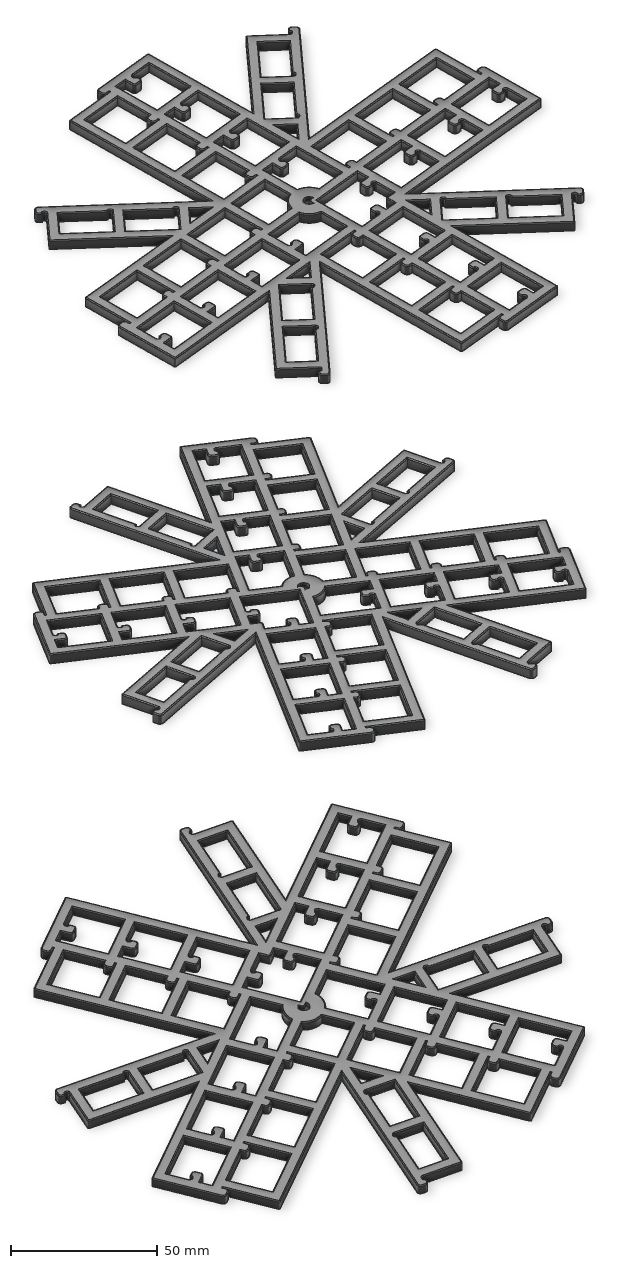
import cadquery as cq
span = 188.0
thickness = 4.0
reach = span / 2
corner_radius = 0.5
chamfer = 0.4

cells = 4
bar = 4.0
pitch = (reach - bar) / cells
rail_start = pitch - bar
tab_depth = 4.3
tab_radius = 1.5

ladder_width = 18.6
ladder_first_bar = 2

hook_length = 4.3
hook_width = 4.1
hook_side = 6.4
hook_turn_line = 10.3
hook_tip_radius = 1.3
notch_radius = 0.8
notch_depth = 1.0

hub_radius = 7.5
pivot_radius = 2.0
pivot_depth = 1.9


def bevelled(body):
    return body.faces(">Z").chamfer(chamfer)


def block(x0, x1, y0, y1, radius=corner_radius):
    """Flat bar with rounded vertical corners, given by its limits in X and Y."""
    body = cq.Workplane("XY").box(x1 - x0, y1 - y0, thickness, centered=False)
    return body.edges("|Z").fillet(radius).translate((x0, y0, 0))


def bevelled_block(*limits_and_radius):
    return bevelled(block(*limits_and_radius))


def disc(x, y, radius, height=thickness):
    return cq.Workplane("XY").circle(radius).extrude(height).translate((x, y, 0))


def open_corner():
    """Block filling the +X +Y quadrant beside the centre, where the corner cell stays open."""
    return cq.Workplane("XY").box(pitch, pitch, thickness, centered=False)


def turned(body, angle):
    return body.rotate((0, 0, 0), (0, 0, 1), angle)


def notch(face, edge):
    """Round relief in an edge that faces +Y at y = `edge`, just past a bar face at x = `face`."""
    return disc(face + notch_radius, edge + notch_radius - notch_depth, notch_radius)


def hook():
    """Hook along +X from a bar face at x = 0, straight side on y = 0, bulb toward +Y."""
    body = block(-bar, hook_length, 0, hook_width, hook_tip_radius)
    body = bevelled(body.cut(notch(0, hook_width)))
    behind_face = cq.Workplane("XY").box(bar, hook_width, thickness, centered=False)
    return body.cut(behind_face.translate((-bar - chamfer, 0, 0)))


def straight_arm():
    """Two staggered rows of cells along +X, without hooks."""
    inner_reach = cells * pitch
    arm = bevelled_block(0, reach, -bar / 2, bar / 2)
    arm = arm.union(bevelled_block(rail_start, reach, rail_start, pitch))
    arm = arm.union(bevelled_block(rail_start, inner_reach, -pitch, -rail_start))
    for cell in range(1, cells + 1):
        joint = cell * pitch
        arm = arm.union(bevelled_block(joint - bar, joint, -pitch, 0))
        arm = arm.union(bevelled_block(joint, joint + bar, -tab_depth, pitch, tab_radius))
    return arm


def left_arm():
    """Arm along -X; its hooks point toward the centre with their bulbs toward +Y."""
    arm = straight_arm().mirror("YZ")
    for cell in range(1, cells + 1):
        arm = arm.union(hook().translate((-cell * pitch, hook_side, 0)))
    return arm


def right_arm():
    """Arm along +X; its hooks are the left ones turned half a turn."""
    arm = straight_arm()
    far_side = 2 * hook_turn_line - hook_side
    for cell in range(1, cells + 1):
        arm = arm.union(turned(hook(), 180).translate((cell * pitch, far_side, 0)))
    return arm


def ladder():
    """Ladder toward (-X, +Y): one rail on the diagonal, the second on its -X side."""
    outer_side = ladder_width - bar / 2
    bar_ends = [cell * pitch for cell in range(ladder_first_bar, cells + 1)]
    hooked_rail = block(pitch, reach, -bar / 2, bar / 2, hook_tip_radius)
    for bar_end in bar_ends:
        hooked_rail = hooked_rail.cut(notch(bar_end, bar / 2))
    body = bevelled(hooked_rail)
    body = body.union(bevelled_block(pitch, bar_ends[-1], outer_side - bar, outer_side))
    for bar_end in bar_ends:
        body = body.union(bevelled_block(bar_end - bar, bar_end, -bar / 2, outer_side))
    rail_middle = pitch - bar / 2
    quadrant = cq.Workplane("XY").box(reach, reach, thickness, centered=False)
    return turned(body, 135).intersect(quadrant.translate((-reach - rail_middle, rail_middle, 0)))


def hub():
    return bevelled(disc(0, 0, hub_radius)).cut(open_corner())


def pivot_hole():
    """Three quarters of a round blind hole, sunk from the top face."""
    hole = disc(0, 0, pivot_radius).cut(open_corner())
    return hole.translate((0, 0, thickness - pivot_depth))


result = hub()
for arm in (left_arm(), right_arm()):
    result = result.union(arm).union(turned(arm, -90))

upper_left_ladder = ladder()
for body in (upper_left_ladder, turned(upper_left_ladder, 90)):
    result = result.union(body).union(body.mirror("YZ"))

result = result.cut(pivot_hole())